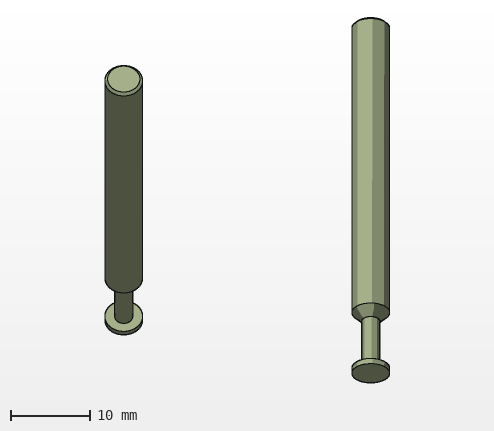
import cadquery as cq

total_height = 50.8
body_diameter = 4.8
neck_diameter = 2.3
flange_thickness = 0.75
neck_top = 7.6
shoulder_taper = (body_diameter - neck_diameter) / 2
top_chamfer = 0.35

body_radius = body_diameter / 2
neck_radius = neck_diameter / 2
shoulder_top = neck_top + shoulder_taper

profile = (
    cq.Workplane("XZ")
    .lineTo(body_radius, 0)
    .lineTo(body_radius, flange_thickness)
    .lineTo(neck_radius, flange_thickness)
    .lineTo(neck_radius, neck_top)
    .lineTo(body_radius, shoulder_top)
    .lineTo(body_radius, total_height - top_chamfer)
    .lineTo(body_radius - top_chamfer, total_height)
    .lineTo(0, total_height)
    .close()
)

result = profile.revolve(360, (0, 0, 0), (0, 1, 0))